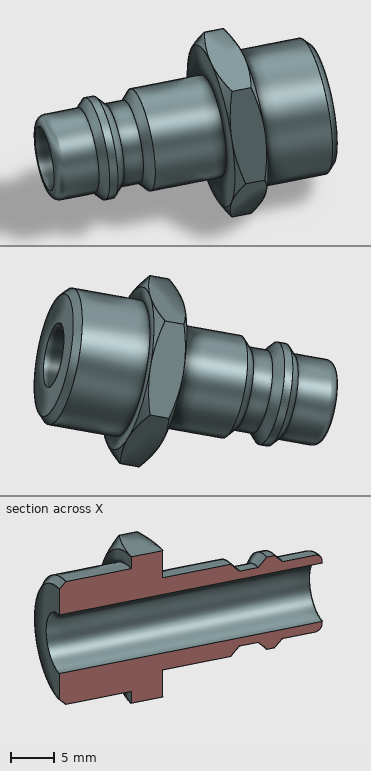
import cadquery as cq
import math

total_length = 33.0
bore_radius = 3.75

tip_radius = 5.0
tip_rounding = 1.0
neck_radius = 4.9
body_radius = 6.0

collar_start = 5.0
collar_rim_start = 6.0
collar_rim_end = 7.0
neck_start = 8.1
neck_end = 10.4
body_start = 11.5

hex_start = 20.0
hex_end = 24.0
hex_across_flats = 19.0
hex_bevel_angle = 30.0

shank_radius = 8.0
shank_chamfer = 0.82

hex_corner_radius = hex_across_flats / 2 / math.cos(math.radians(30))


def revolve_about_axis(profile):
    """Revolve a (radius, Y) profile fully around the Y axis."""
    return profile.close().revolve(360, (0, 0, 0), (0, 1, 0))


def plug_and_shank():
    """Solid turned body: rounded tip, collar, neck, barrel and rear shank."""
    rounding_center_radius = tip_radius - tip_rounding
    arc_offset = tip_rounding * math.sin(math.radians(45))
    arc_middle = (rounding_center_radius + arc_offset, tip_rounding - arc_offset)
    profile = (
        cq.Workplane("XY")
        .lineTo(rounding_center_radius, 0)
        .threePointArc(arc_middle, (tip_radius, tip_rounding))
        .lineTo(tip_radius, collar_start)
        .lineTo(body_radius, collar_rim_start)
        .lineTo(body_radius, collar_rim_end)
        .lineTo(neck_radius, neck_start)
        .lineTo(neck_radius, neck_end)
        .lineTo(body_radius, body_start)
        .lineTo(body_radius, hex_start)
        .lineTo(shank_radius, hex_start)
        .lineTo(shank_radius, total_length - shank_chamfer)
        .lineTo(shank_radius - shank_chamfer, total_length)
        .lineTo(0, total_length)
    )
    return revolve_about_axis(profile)


def hex_flange():
    """Hexagon with corners on X, its corners bevelled conically on both faces."""
    prism = (
        cq.Workplane("XZ", origin=(0, hex_start, 0))
        .polygon(6, 2 * hex_corner_radius)
        .extrude(hex_start - hex_end)
    )
    face_radius = hex_across_flats / 2
    bevel_depth = (hex_corner_radius - face_radius) * math.tan(math.radians(hex_bevel_angle))
    envelope = revolve_about_axis(
        cq.Workplane("XY")
        .moveTo(0, hex_start)
        .lineTo(face_radius, hex_start)
        .lineTo(hex_corner_radius, hex_start + bevel_depth)
        .lineTo(hex_corner_radius, hex_end - bevel_depth)
        .lineTo(face_radius, hex_end)
        .lineTo(0, hex_end)
    )
    return prism.intersect(envelope)


def through_bore():
    return cq.Workplane("XZ").circle(bore_radius).extrude(-total_length)


result = plug_and_shank().union(hex_flange()).cut(through_bore())